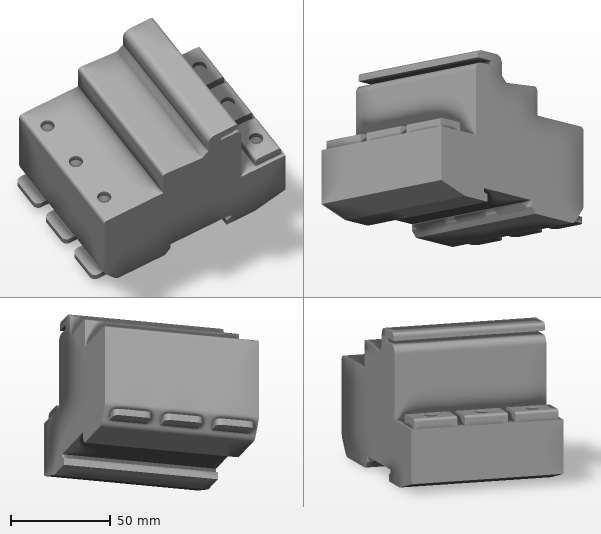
import cadquery as cq
import math


POLE_COUNT = 3
TOTAL_WIDTH = 81.0
POLE_WIDTH = TOTAL_WIDTH / POLE_COUNT
POLE_LENGTH = 107.7
POLE_HEIGHT = 77.5

FRONT_BLOCK_TOP = 51.0
FRONT_CHAMFER_LENGTH = 7.2
FRONT_CHAMFER_HEIGHT = 9.1

MIDDLE_FRONT = 35.0
VALLEY_Y = 58.3
VALLEY_Z = 64.0
MIDDLE_SLOPE_DEG = 5.0
MIDDLE_FRONT_TOP = VALLEY_Z + (VALLEY_Y - MIDDLE_FRONT) * math.tan(math.radians(MIDDLE_SLOPE_DEG))

TOWER_FRONT = 61.8
TOWER_FRONT_FOOT = 67.1
TOWER_REAR = 81.6
TOWER_SHOULDER = 71.1
LIP_REAR = 79.8
LIP_UNDERSIDE = 73.5
LIP_SLOT_END = 69.5

SHELF_TOP = 33.1
REAR_TAPER_START = 89.6
REAR_TAPER_HEIGHT = 5.2

RAIL_TOP = 6.5
RAIL_FRONT = 39.3
RAIL_FRONT_FOOT = 3.4
RAIL_FRONT_TAPER_Y = 36.1
RAIL_REAR = 75.5
HOOK_TIP_Y = 72.7
HOOK_TIP_TOP = 3.7
HOOK_ROOT_TOP = 4.7

SMALL_RADIUS = 2.0
LARGE_RADIUS = 4.0
SLOT_RADIUS = 1.0

TERMINAL_WIDTH = 23.0
TERMINAL_LENGTH = 14.9
TERMINAL_HEIGHT = 5.0
TERMINAL_CENTER_Y = 98.7
TERMINAL_RADIUS = 1.5

SCREW_DIAMETER = 7.2
SCREW_DEPTH = 3.0
FRONT_SCREW_Y = 8.4

LATCH_WIDTH = 20.0
LATCH_OVERHANG = 4.5
LATCH_BOTTOM = 2.4
LATCH_THICKNESS = 3.4
LATCH_TIP_Y = 41.7
LATCH_TIP_Z = 5.2
LATCH_NOSE_TOP = 6.1
LATCH_CORNER_RADIUS = 3.0


def pole_body():
    """Side profile extruded across the pole width, with selected long edges rounded."""
    outline = [
        (FRONT_CHAMFER_LENGTH, 0),
        (0, FRONT_CHAMFER_HEIGHT),
        (0, FRONT_BLOCK_TOP),
        (MIDDLE_FRONT, FRONT_BLOCK_TOP),
        (MIDDLE_FRONT, MIDDLE_FRONT_TOP),
        (VALLEY_Y, VALLEY_Z),
        (TOWER_FRONT, TOWER_FRONT_FOOT),
        (TOWER_FRONT, POLE_HEIGHT),
        (LIP_REAR, POLE_HEIGHT),
        (LIP_REAR, LIP_UNDERSIDE),
        (LIP_SLOT_END, LIP_UNDERSIDE),
        (LIP_SLOT_END, TOWER_SHOULDER),
        (TOWER_REAR, TOWER_SHOULDER),
        (TOWER_REAR, SHELF_TOP),
        (POLE_LENGTH, SHELF_TOP),
        (POLE_LENGTH, REAR_TAPER_HEIGHT),
        (REAR_TAPER_START, 0),
        (HOOK_TIP_Y, 0),
        (HOOK_TIP_Y, HOOK_TIP_TOP),
        (RAIL_REAR, HOOK_ROOT_TOP),
        (RAIL_REAR, RAIL_TOP),
        (RAIL_FRONT, RAIL_TOP),
        (RAIL_FRONT, RAIL_FRONT_FOOT),
        (RAIL_FRONT_TAPER_Y, 0),
    ]
    rounded_corners = [
        (FRONT_CHAMFER_LENGTH, 0, LARGE_RADIUS),
        (0, FRONT_CHAMFER_HEIGHT, LARGE_RADIUS),
        (0, FRONT_BLOCK_TOP, SMALL_RADIUS),
        (MIDDLE_FRONT, MIDDLE_FRONT_TOP, SMALL_RADIUS),
        (TOWER_FRONT, POLE_HEIGHT, LARGE_RADIUS),
        (LIP_REAR, POLE_HEIGHT, SMALL_RADIUS),
        (LIP_SLOT_END, LIP_UNDERSIDE, SLOT_RADIUS),
        (TOWER_REAR, TOWER_SHOULDER, LARGE_RADIUS),
    ]
    body = cq.Workplane("YZ").polyline(outline).close().extrude(POLE_WIDTH / 2, both=True)
    for y, z, radius in rounded_corners:
        body = body.edges(cq.NearestToPointSelector((0, y, z))).fillet(radius)
    return body


def terminal_block():
    """Raised block on the rear shelf, rounded along its two top X edges."""
    return (
        cq.Workplane("XY", origin=(0, TERMINAL_CENTER_Y, SHELF_TOP))
        .rect(TERMINAL_WIDTH, TERMINAL_LENGTH)
        .extrude(TERMINAL_HEIGHT)
        .edges("|X and >Z")
        .fillet(TERMINAL_RADIUS)
    )


def rail_latch():
    """Flat latch under the pole: a rounded tongue in front, a pointed nose in the rail recess."""
    latch_top = LATCH_BOTTOM + LATCH_THICKNESS
    taper_run = (RAIL_FRONT - RAIL_FRONT_TAPER_Y) * LATCH_BOTTOM / RAIL_FRONT_FOOT
    side = [
        (-LATCH_OVERHANG, LATCH_BOTTOM),
        (-LATCH_OVERHANG, latch_top),
        (RAIL_FRONT, latch_top),
        (RAIL_FRONT, LATCH_NOSE_TOP),
        (LATCH_TIP_Y, LATCH_TIP_Z),
        (RAIL_FRONT_TAPER_Y + taper_run, LATCH_BOTTOM),
    ]
    return (
        cq.Workplane("YZ")
        .polyline(side)
        .close()
        .extrude(LATCH_WIDTH / 2, both=True)
        .edges("|Z and <Y")
        .fillet(LATCH_CORNER_RADIUS)
    )


def screw_hole(center_y, top_z):
    """Cutter for a blind screw hole opening upward at top_z."""
    return (
        cq.Workplane("XY", origin=(0, center_y, top_z))
        .circle(SCREW_DIAMETER / 2)
        .extrude(-SCREW_DEPTH)
    )


def pole():
    """One complete pole, centred on X = 0."""
    return (
        pole_body()
        .union(terminal_block())
        .union(rail_latch())
        .cut(screw_hole(FRONT_SCREW_Y, FRONT_BLOCK_TOP))
        .cut(screw_hole(TERMINAL_CENTER_Y, SHELF_TOP + TERMINAL_HEIGHT))
    )


poles = []
for index in range(POLE_COUNT):
    pole_x = (index - (POLE_COUNT - 1) / 2) * POLE_WIDTH
    poles.append(pole().translate((pole_x, 0, 0)).val())

result = cq.Compound.makeCompound(poles)